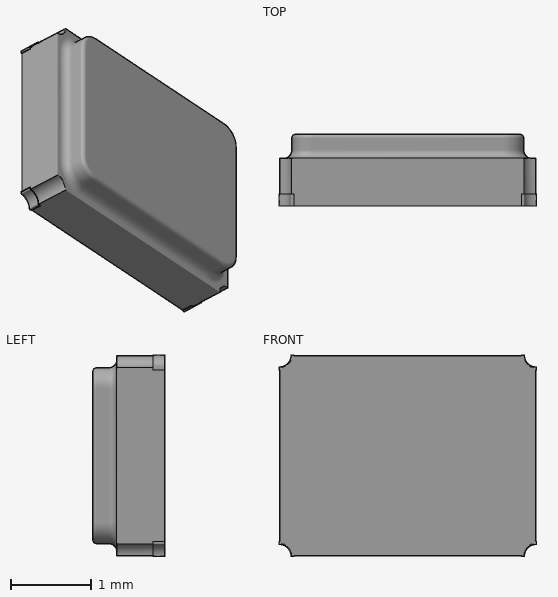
import cadquery as cq

body_length = 3.2
body_width = 2.5
body_height = 0.6
notch_radius = 0.15
body_edge_radius = 0.005

lid_inset = 0.15
lid_height = 0.3
lid_corner_radius = 0.25
lid_edge_radius = 0.05
seal_fillet_radius = 0.1

plating_thickness = 0.01
plating_height = 0.15
plating_reach = 0.18

lid_length = body_length - 2 * lid_inset
lid_width = body_width - 2 * lid_inset
corners = [(x_side * body_length / 2, z_side * body_width / 2) for x_side in (-1, 1) for z_side in (-1, 1)]


def rise(profile, height):
    """Extrude an XZ profile toward +Y; the XZ workplane itself faces -Y."""
    return profile.extrude(-height)


def make_notched_block():
    """Rectangular block with a concave quarter-round notch along each upright corner."""
    block = rise(cq.Workplane("XZ").rect(body_length, body_width), body_height)
    notches = rise(cq.Workplane("XZ").pushPoints(corners).circle(notch_radius), body_height)
    return block.cut(notches)


def make_plating(notched_block):
    outline = notched_block.faces("<Y").wires().toPending().offset2D(plating_thickness, "arc")
    sleeve = rise(outline, plating_height)
    corner_zone_size = 2 * plating_reach
    corner_zones = cq.Workplane("XZ").pushPoints(corners).rect(corner_zone_size, corner_zone_size)
    return sleeve.intersect(rise(corner_zones, plating_height))


def make_lid():
    lid = rise(cq.Workplane("XZ", origin=(0, body_height, 0)).rect(lid_length, lid_width), lid_height)
    lid = lid.edges("|Y").fillet(lid_corner_radius)
    return lid.faces(">Y").edges().fillet(lid_edge_radius)


def join_lid(body, lid):
    """Set the lid on the body and fill the seam between them with a concave fillet."""
    margin = lid_inset / 2
    half_length = lid_length / 2 + margin
    half_width = lid_width / 2 + margin
    seam_zone = cq.selectors.BoxSelector(
        (-half_length, body_height - body_edge_radius / 2, -half_width),
        (half_length, body_height + body_edge_radius / 2, half_width),
        boundingbox=True,
    )
    return body.union(lid).edges(seam_zone).fillet(seal_fillet_radius)


notched_block = make_notched_block()
body = notched_block.faces(">Y").edges().fillet(body_edge_radius)
result = join_lid(body, make_lid()).union(make_plating(notched_block))